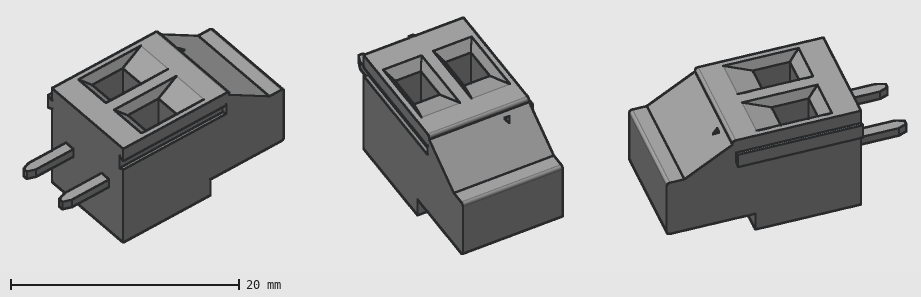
import cadquery as cq


overall_width = 10.55
overall_length = 23

housing_width = 10.0
housing_depth = 18.0
housing_height = 11.2
foot_depth = 9.8
foot_height = 1.89
rear_top_height = 8.0
rear_ledge_depth = 1.63
top_depth = 11.91
slope_top_height = 10.76
edge_radius = 0.3

pole_count = 2
pole_pitch = housing_width / pole_count
pole_centers = [pole_pitch * (i + 0.5) for i in range(pole_count)]

pin_length = overall_length - housing_depth
pin_width = 1.05
pin_tip_width = 0.45
pin_taper_length = 0.8
pin_thickness = 0.9
pin_bottom = 5.22

entry_width = 3.85
entry_front = 2.5
entry_back = 9.5
well_width = 2.58
well_front = 3.55
well_back = 6.97
funnel_depth = 0.78
well_floor = pin_bottom + pin_thickness

dovetail_length = 11.6
dovetail_projection = overall_width - housing_width
dovetail_outer_height = 1.47
dovetail_root_height = 1.01
dovetail_center_height = 9.22

marker_width = 0.5
marker_length = 0.45
marker_base = 12.37
marker_depth = 0.1


def make_housing():
    """Side profile extruded along X, with the three long outer edges rounded."""
    profile = [
        (0, 0),
        (foot_depth, 0),
        (foot_depth, foot_height),
        (housing_depth, foot_height),
        (housing_depth, rear_top_height),
        (housing_depth - rear_ledge_depth, rear_top_height),
        (top_depth, slope_top_height),
        (top_depth, housing_height),
        (0, housing_height),
    ]
    body = cq.Workplane("YZ").polyline(profile).close().extrude(housing_width)
    rounded_corners = [
        (housing_depth, foot_height),
        (housing_depth, rear_top_height),
        (top_depth, housing_height),
    ]
    for y, z in rounded_corners:
        edge_middle = (housing_width / 2, y, z)
        body = body.edges(cq.selectors.NearestToPointSelector(edge_middle)).fillet(edge_radius)
    return body


def make_dovetail(root_x):
    """Dovetail bar widening towards -X, its wide face left of root_x."""
    outer_x = root_x - dovetail_projection
    outer_half = dovetail_outer_height / 2
    root_half = dovetail_root_height / 2
    section = [
        (outer_x, dovetail_center_height - outer_half),
        (root_x, dovetail_center_height - root_half),
        (root_x, dovetail_center_height + root_half),
        (outer_x, dovetail_center_height + outer_half),
    ]
    return cq.Workplane("XZ").polyline(section).close().extrude(-dovetail_length)


def make_wire_entry(center_x):
    """Solid to be cut: rectangular funnel on top of a straight well."""
    entry_middle = (entry_front + entry_back) / 2
    well_middle = (well_front + well_back) / 2
    well_length = well_back - well_front
    funnel = (
        cq.Workplane("XY", origin=(center_x, entry_middle, housing_height))
        .rect(entry_width, entry_back - entry_front)
        .workplane(offset=-funnel_depth)
        .center(0, well_middle - entry_middle)
        .rect(well_width, well_length)
        .loft(ruled=True)
    )
    well_top = housing_height - funnel_depth
    well = (
        cq.Workplane("XY", origin=(center_x, well_middle, well_floor))
        .rect(well_width, well_length)
        .extrude(well_top - well_floor)
    )
    return funnel.union(well)


def make_pin(center_x):
    """Flat pin standing out of the front face, tapered in width at its tip."""
    outline = [
        (-pin_width / 2, 0),
        (-pin_width / 2, pin_taper_length - pin_length),
        (-pin_tip_width / 2, -pin_length),
        (pin_tip_width / 2, -pin_length),
        (pin_width / 2, pin_taper_length - pin_length),
        (pin_width / 2, 0),
    ]
    plane = cq.Workplane("XY", origin=(center_x, 0, pin_bottom))
    return plane.polyline(outline).close().extrude(pin_thickness)


def make_marker(center_x):
    """Triangular prism to be cut, with a floor parallel to the slope."""
    slope_end_y = housing_depth - rear_ledge_depth
    slope_grade = (slope_top_height - rear_top_height) / (slope_end_y - top_depth)
    marker_tip = marker_base + marker_length

    def floor_height(y):
        return slope_top_height - slope_grade * (y - top_depth) - marker_depth

    triangle = [
        (center_x - marker_width / 2, marker_base),
        (center_x + marker_width / 2, marker_base),
        (center_x, marker_tip),
    ]
    prism = cq.Workplane("XY").polyline(triangle).close().extrude(housing_height)
    above_floor = [
        (marker_base, floor_height(marker_base)),
        (marker_tip, floor_height(marker_tip)),
        (marker_tip, housing_height),
        (marker_base, housing_height),
    ]
    slab = cq.Workplane("YZ").polyline(above_floor).close().extrude(housing_width)
    return prism.intersect(slab)


result = make_housing()
result = result.union(make_dovetail(0))
result = result.cut(make_dovetail(housing_width))
for pole_x in pole_centers:
    result = result.cut(make_wire_entry(pole_x))
    result = result.union(make_pin(pole_x))
result = result.cut(make_marker(pole_centers[0]))